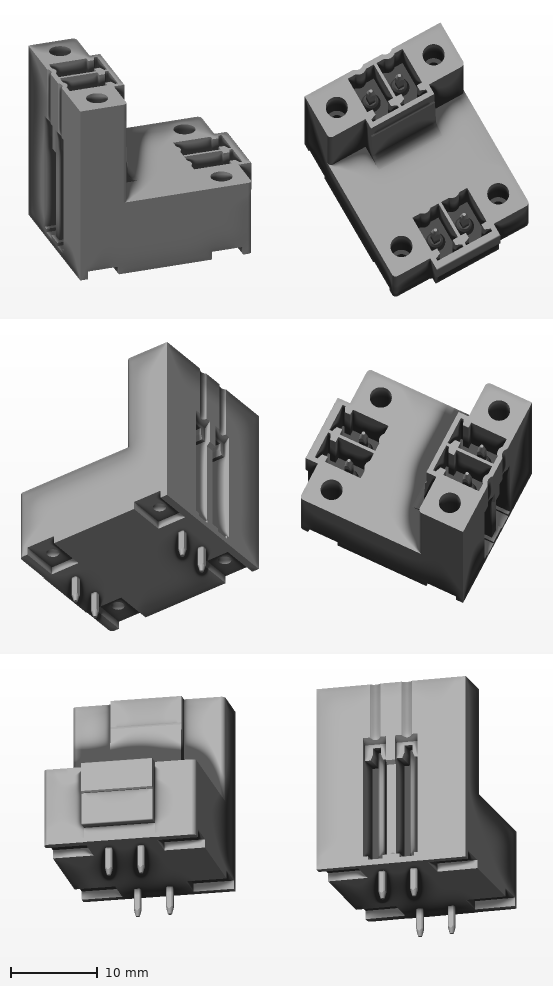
import cadquery as cq

pole_pitch = 3.81
level_pitch = 15.24
front_pin_y = 2.98
tower_top = 21.85
shelf_top = 9.17
level_drop = tower_top - shelf_top
pole_xs = [-pole_pitch / 2, pole_pitch / 2]
levels = [(front_pin_y, 0), (front_pin_y + level_pitch, level_drop)]

housing_width = 18.01
centre_width = 8.4
total_depth = 22.7
total_height = 25.1
wing_depth_tower = 5.81
wing_depth_shelf = 21.09
wing_corner_radius = 0.5

foot_depth = 21.17
rib_depth = 22.37
rib_bottom = 1.72
lip_bottom = 5.53
lip_chamfer = 0.18
back_edge_radius = 0.15

tower_depth_top = 7.1
taper_depth_top = 7.25
taper_depth_bottom = 7.5
tower_straight_bottom = 18.65
taper_top = 18.35
taper_bottom = 10.4
tower_foot_depth = 8.97

screw_x = 6.415
screw_hole_diameter = 1.53
screw_bore_diameter = 2.55
screw_bore_depth = 6.4
side_pocket_length = 3.8
side_pocket_height = 1.0
side_pocket_depth = (housing_width - centre_width) / 2
front_pocket_y = 2.83

cavity_depth = 6.4
cavity_half_width = 1.725
cavity_front = -2.37
cavity_back = 3.54
key_half_gap = 1.03
key_front = 2.22
key_tip_back = 2.93
key_root_back = 3.2
rib_half_width = 0.68
rib_rise = 0.28

cone_base_radius = 1.14
cone_shoulder_radius = 0.88
cone_top_radius = 0.62
cone_shoulder_height = 0.8
cone_height = 1.05

window_half_width = 1.37
window_shift = -0.08
window_top = 15.42
window_chamfer = 0.69
window_sill = 1.08
window_back = 3.86
head_bottom = 12.85
trough_half_width = 0.88
trough_floor = 0.66
notch_half_width = 0.48
notch_top = 14.3
notch_flare_top = 13.5
notch_flare_half_width = 0.75
web_top = 12.5
web_recess = 0.43
groove_half_width = 0.64
groove_depth = 0.28

pin_side = 0.8
pin_corner_chamfer = 0.14
pin_bottom = tower_top - total_height
pin_recess = 0.95
tip_top_radius = 0.19
tip_bottom_radius = 0.23
top_tip_length = 0.85
bottom_tip_length = 0.6
tip_cone_height = 2.5


def slab(x_min, x_max, y_min, y_max, z_min, z_max):
    """Axis-aligned block between the given limits."""
    block = cq.Workplane("XY").box(x_max - x_min, y_max - y_min, z_max - z_min, centered=False)
    return block.translate((x_min, y_min, z_min))


def side_extrusion(profile, x_centre, width):
    """Closed (y, z) profile extruded along X, centred on x_centre."""
    return cq.Workplane("YZ").workplane(offset=x_centre - width / 2).polyline(profile).close().extrude(width)


def make_wings():
    half = housing_width / 2
    shelf = slab(-half, half, 0, wing_depth_shelf, 0, shelf_top)
    tower = slab(-half, half, 0, wing_depth_tower, 0, tower_top)
    shelf = shelf.edges("|Z and >Y").fillet(wing_corner_radius)
    tower = tower.edges("|Z and >Y").fillet(wing_corner_radius)
    return shelf.union(tower)


def make_centre_block():
    block = (
        cq.Workplane("YZ")
        .workplane(offset=-centre_width / 2)
        .moveTo(0, 0)
        .lineTo(foot_depth, 0)
        .lineTo(foot_depth, rib_bottom)
        .lineTo(rib_depth, rib_bottom)
        .lineTo(rib_depth, lip_bottom)
        .lineTo(total_depth - lip_chamfer, lip_bottom)
        .lineTo(total_depth, lip_bottom + lip_chamfer)
        .lineTo(total_depth, shelf_top)
        .lineTo(tower_foot_depth, shelf_top)
        .tangentArcPoint((taper_depth_bottom, taper_bottom), relative=False)
        .lineTo(taper_depth_top, taper_top)
        .lineTo(tower_depth_top, tower_straight_bottom)
        .lineTo(tower_depth_top, tower_top)
        .lineTo(0, tower_top)
        .close()
        .extrude(centre_width)
    )

    def edge_at(y, z):
        return cq.selectors.NearestToPointSelector((0, y, z))

    block = block.edges(edge_at(total_depth, shelf_top)).fillet(back_edge_radius)
    return block.edges(edge_at(rib_depth, rib_bottom)).fillet(back_edge_radius)


def make_screw_hole(x, y, top):
    bore_floor = top - screw_bore_depth
    bore = cq.Workplane("XY").workplane(offset=bore_floor).circle(screw_bore_diameter / 2)
    hole = cq.Workplane("XY").circle(screw_hole_diameter / 2).extrude(top)
    return bore.extrude(screw_bore_depth).union(hole).translate((x, y, 0))


def make_side_pocket(side, y):
    """Pocket open to the bottom and to one side of the housing; side is -1 or +1."""
    x_outer = side * housing_width / 2
    x_inner = side * (housing_width / 2 - side_pocket_depth)
    half = side_pocket_length / 2
    return slab(min(x_outer, x_inner), max(x_outer, x_inner), y - half, y + half, 0, side_pocket_height)


def make_cavity(x, y, top):
    """Keyed plug cavity around the pin, less the cone left standing on its floor."""
    floor = top - cavity_depth
    outline = (
        cq.Workplane("XY")
        .workplane(offset=floor)
        .moveTo(-cavity_half_width, cavity_front)
        .lineTo(-rib_half_width, cavity_front)
        .threePointArc((0, cavity_front + rib_rise), (rib_half_width, cavity_front))
        .lineTo(cavity_half_width, cavity_front)
        .lineTo(cavity_half_width, key_front)
        .lineTo(key_half_gap, key_front)
        .lineTo(key_half_gap, key_tip_back)
        .lineTo(cavity_half_width, key_root_back)
        .lineTo(cavity_half_width, cavity_back)
        .lineTo(-cavity_half_width, cavity_back)
        .lineTo(-cavity_half_width, key_root_back)
        .lineTo(-key_half_gap, key_tip_back)
        .lineTo(-key_half_gap, key_front)
        .lineTo(-cavity_half_width, key_front)
        .close()
        .extrude(cavity_depth)
    )
    cone = (
        cq.Workplane("XZ")
        .polyline([
            (0, floor),
            (cone_base_radius, floor),
            (cone_shoulder_radius, floor + cone_shoulder_height),
            (cone_top_radius, floor + cone_height),
            (0, floor + cone_height),
        ])
        .close()
        .revolve(360, (0, 0, 0), (0, 1, 0))
    )
    return outline.cut(cone).translate((x, y, 0))


def make_window(x):
    """Front opening below the tower cavity, with the notch above it that clears the pin."""
    profile = [
        (0, window_sill),
        (window_back, window_sill),
        (window_back, head_bottom),
        (window_chamfer, head_bottom),
        (window_chamfer, window_top - window_chamfer),
        (0, window_top),
    ]
    opening = side_extrusion(profile, x + window_shift, 2 * window_half_width)
    trough = slab(x - trough_half_width, x + trough_half_width, 0, window_back, trough_floor, window_sill)
    notch = (
        cq.Workplane("XZ")
        .polyline([
            (-notch_flare_half_width, head_bottom),
            (-notch_half_width, notch_flare_top),
            (-notch_half_width, notch_top),
            (notch_half_width, notch_top),
            (notch_half_width, notch_flare_top),
            (notch_flare_half_width, head_bottom),
        ])
        .close()
        .extrude(-window_back)
        .translate((x, 0, 0))
    )
    return opening.union(trough).union(notch)


def make_web_recess():
    """Shallow recess that sets back the web between the two windows."""
    profile = [
        (0, window_sill),
        (web_recess, window_sill),
        (web_recess, web_top - web_recess),
        (0, web_top),
    ]
    return side_extrusion(profile, window_shift, pole_pitch - 2 * window_half_width)


def make_groove(x):
    """Rounded groove from the tower top down to the sloped head of the window."""
    groove_bottom = window_top - window_chamfer
    return (
        cq.Workplane("XY")
        .workplane(offset=groove_bottom)
        .moveTo(x - groove_half_width, 0)
        .threePointArc((x, groove_depth), (x + groove_half_width, 0))
        .close()
        .extrude(tower_top - groove_bottom)
    )


def make_pin(x, y, drop):
    """Square pin with conical ends; its corners are chamfered below the notch top level."""
    top = tower_top - drop - pin_recess
    shank_top = notch_top - drop
    half = pin_side / 2
    shank = slab(-half, half, -half, half, pin_bottom, shank_top).edges("|Z").chamfer(pin_corner_chamfer)
    contact = slab(-half, half, -half, half, shank_top, top)
    top_slope = (half - tip_top_radius) / top_tip_length
    bottom_slope = (half - tip_bottom_radius) / bottom_tip_length
    top_cone_radius = tip_top_radius + top_slope * tip_cone_height
    bottom_cone_radius = tip_bottom_radius + bottom_slope * tip_cone_height
    envelope = (
        cq.Workplane("XZ")
        .polyline([
            (0, pin_bottom),
            (tip_bottom_radius, pin_bottom),
            (bottom_cone_radius, pin_bottom + tip_cone_height),
            (top_cone_radius, top - tip_cone_height),
            (tip_top_radius, top),
            (0, top),
        ])
        .close()
        .revolve(360, (0, 0, 0), (0, 1, 0))
    )
    return shank.union(contact).intersect(envelope).translate((x, y, 0))


def make_housing(pins):
    body = make_wings().union(make_centre_block())
    for pin_y, drop in levels:
        level_top = tower_top - drop
        pocket_y = front_pocket_y + pin_y - front_pin_y
        for side in (-1, 1):
            body = body.cut(make_screw_hole(side * screw_x, pin_y, level_top))
            body = body.cut(make_side_pocket(side, pocket_y))
        for x in pole_xs:
            body = body.cut(make_cavity(x, pin_y, level_top))
    for x in pole_xs:
        body = body.cut(make_window(x))
        body = body.cut(make_groove(x))
    body = body.cut(make_web_recess())
    for pin in pins:
        body = body.cut(pin)
    return body


pins = [make_pin(x, pin_y, drop) for pin_y, drop in levels for x in pole_xs]
housing = make_housing(pins)

result = cq.Compound.makeCompound([*housing.solids().vals(), *[pin.solids().val() for pin in pins]])